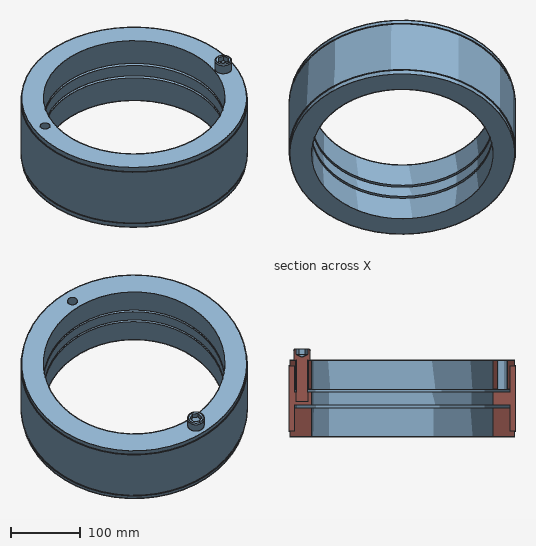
import cadquery as cq

outer_diameter = 325.0
bore_diameter = 260.0
ring_height = 110.0
mid_height = ring_height / 2

flange_diameter = 322.5
flange_thickness = 7.8
spigot_diameter = 308.8
cap_depth = 41.5

groove_width = 4.0
rib_height = ring_height - 2 * (cap_depth + groove_width)
sleeve_height = ring_height - 2 * flange_thickness

hole_radius = 143.5
threaded_hole_diameter = 14.0
clearance_hole_diameter = 17.5

head_diameter = 24.0
head_height = 16.2
head_chamfer = 1.5
shank_diameter = 16.0
shank_length = 58.5
socket_across_corners = 16.2
socket_depth = 7.8
socket_tip_depth = 4.0


def cylinder(diameter, bottom, height, y=0.0):
    """Upright cylinder on the X = 0 plane, starting at the height `bottom`."""
    return cq.Workplane("XY", origin=(0, y, bottom)).circle(diameter / 2).extrude(height)


def hole_cutter(diameter, depth, y):
    """Cylinder that reaches down from the top face of the ring."""
    return cylinder(diameter, ring_height - depth, depth, y)


def make_sleeve():
    blank = cylinder(outer_diameter, flange_thickness, sleeve_height)
    spigot_bore = cylinder(spigot_diameter, flange_thickness, sleeve_height)
    rib_bottom = mid_height - rib_height / 2
    rib = cylinder(spigot_diameter, rib_bottom, rib_height).cut(
        cylinder(bore_diameter, rib_bottom, rib_height)
    )
    sleeve = blank.cut(spigot_bore).union(rib)
    return sleeve.cut(hole_cutter(shank_diameter, shank_length, hole_radius))


def make_plain_cap():
    """Bottom cap, with its flange on the Z = 0 plane."""
    flange = cylinder(flange_diameter, 0, flange_thickness)
    spigot = cylinder(spigot_diameter, 0, cap_depth)
    return flange.union(spigot).cut(cylinder(bore_diameter, 0, cap_depth))


def make_drilled_cap():
    """Top cap: the bottom cap mirrored, with a screw hole and a threaded hole."""
    cap = make_plain_cap().mirror("XY", (0, 0, mid_height))
    cap = cap.cut(hole_cutter(clearance_hole_diameter, cap_depth, hole_radius))
    return cap.cut(hole_cutter(threaded_hole_diameter, cap_depth, -hole_radius))


def make_screw():
    head = cylinder(head_diameter, ring_height, head_height, hole_radius)
    head = head.faces(">Z").edges().chamfer(head_chamfer)
    shank = hole_cutter(shank_diameter, shank_length, hole_radius)

    socket_bottom = ring_height + head_height - socket_depth
    tip_bottom = socket_bottom - socket_tip_depth
    hexagon = (
        cq.Workplane("XY", origin=(0, hole_radius, tip_bottom))
        .transformed(rotate=(0, 0, 90))
        .polygon(6, socket_across_corners)
        .extrude(socket_depth + socket_tip_depth)
    )
    tip = cq.Solid.makeCone(
        0,
        socket_across_corners / 2,
        socket_tip_depth,
        pnt=cq.Vector(0, hole_radius, tip_bottom),
    )
    pointed_bore = cylinder(socket_across_corners, socket_bottom, socket_depth, hole_radius).union(
        cq.Workplane(tip)
    )
    return head.union(shank).cut(hexagon.intersect(pointed_bore))


sleeve = make_sleeve()
bottom_cap = make_plain_cap()
top_cap = make_drilled_cap()
screw = make_screw()

bodies = [sleeve, bottom_cap, top_cap, screw]
result = cq.Compound.makeCompound([body.solids().val() for body in bodies])